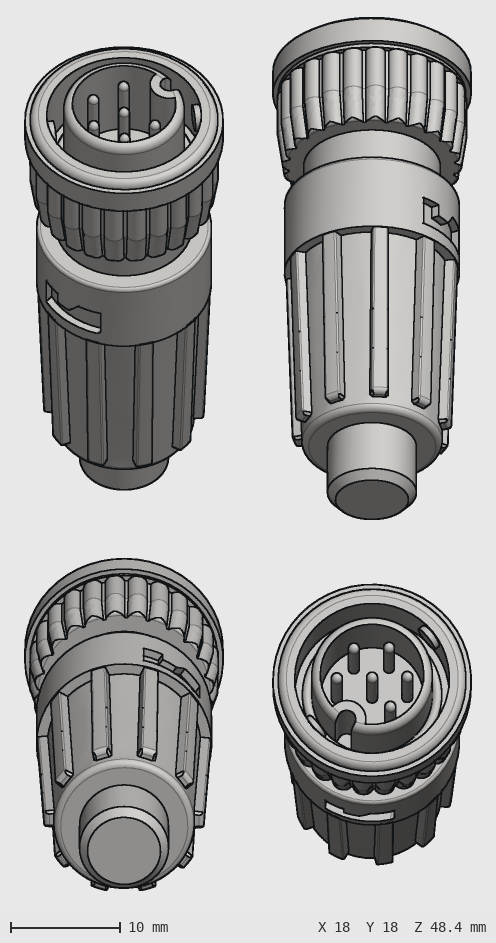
import cadquery as cq
import math

total_height = 48.39
overall_diameter = 18.03
grip_bottom_z = 5.75
rib_bottom_z = 7.05
collar_bottom_z = 24.45
collar_top_z = 32.05
ring_bottom_z = 35.95
knurl_bend_z = 39.3
knurl_top_z = 43.4
flange_bottom_z = 43.8
flange_top_z = 46.2
ring_top_z = 46.93
gap_depth = 7.5
cavity_depth = 8.5
gap_floor_z = total_height - gap_depth
cavity_floor_z = total_height - cavity_depth

tail_radius = 4.05
tail_chamfer_width = 0.73
tail_chamfer_height = 0.8

grip_bottom_radius = 6.38
grip_top_radius = 6.98
grip_edge_radius = 0.6
rib_count = 10
rib_first_angle = 272.0
rib_top_radius = 7.87
rib_bottom_radius = 7.3
rib_outer_width = 1.35
rib_root_width = 1.55
rib_edge_radius = 0.15
rib_end_chamfer = 0.25
rib_end_radius = 0.5
rib_root_radius = 5.8

collar_radius = 7.96
collar_edge_radius = 0.33
window_turn = 20.0
window_depth = 0.73
window_half_width = 3.19
window_bottom_z = 25.75
window_top_z = 28.53
window_corner_radius = 0.4
tooth_bottom_z = 27.36
tooth_left = -1.4
tooth_right = 0.05
tooth_ramp_end = 1.05

neck_radius = 6.23

flange_radius = overall_diameter / 2
ring_radius = 8.55
ring_bore_radius = 7.03
ring_edge_radius = ring_top_z - flange_top_z
lobe_count = 24
lobe_radius = 0.95
lobe_centre_radius = 7.66
valley_radius = 8.05
knurl_taper = 0.47
ring_bottom_edge_radius = 0.35

lug_angle = 248.0
lug_radius = 1.2
lug_inner_radius = 6.4
lug_recess = 0.3
lug_centre_z = ring_top_z - lug_recess - lug_radius

shell_radius = 5.49
shell_bore_radius = 4.7
shell_edge_radius = shell_radius - shell_bore_radius
seal_radius = 0.43
seal_centre_radius = shell_radius + seal_radius

key_centre_y = 4.8
key_boss_radius = 1.75
key_slot_width = 1.64

pin_radius = 0.5
pin_circle_radius = 3.2
pin_recess = 0.7
pin_top_z = total_height - pin_recess
outer_pin_angles = [30, 150, 210, 270, 330]


def cylinder(radius, bottom_z, top_z):
    return cq.Workplane("XY").workplane(offset=bottom_z).circle(radius).extrude(top_z - bottom_z)


def turned(profile):
    """Turn a profile, drawn as (radius, height), about the connector axis."""
    return profile.revolve(360, (0, 0), (0, 1))


def make_body():
    """Tail, grip core, collar and neck as one turned profile."""
    profile = (
        cq.Workplane("XZ")
        .lineTo(tail_radius - tail_chamfer_width, 0)
        .lineTo(tail_radius, tail_chamfer_height)
        .lineTo(tail_radius, grip_bottom_z)
        .lineTo(grip_bottom_radius - grip_edge_radius, grip_bottom_z)
        .radiusArc((grip_bottom_radius, grip_bottom_z + grip_edge_radius), -grip_edge_radius)
        .lineTo(grip_top_radius, collar_bottom_z)
        .lineTo(collar_radius, collar_bottom_z)
        .lineTo(collar_radius, collar_top_z - collar_edge_radius)
        .radiusArc((collar_radius - collar_edge_radius, collar_top_z), -collar_edge_radius)
        .lineTo(neck_radius, collar_top_z)
        .lineTo(neck_radius, cavity_floor_z)
        .lineTo(0, cavity_floor_z)
        .close()
    )
    return turned(profile)


def make_ribs():
    """Straight grip ribs with drafted flanks, trimmed to a tapered outer envelope."""
    outer_x = collar_radius
    draft = (rib_root_width - rib_outer_width) / 2 / (rib_top_radius - grip_top_radius)
    half_outer = rib_outer_width / 2 - draft * (outer_x - rib_top_radius)
    half_inner = rib_outer_width / 2 + draft * (rib_top_radius - rib_root_radius)
    section = [
        (rib_root_radius, -half_inner),
        (outer_x, -half_outer),
        (outer_x, half_outer),
        (rib_root_radius, half_inner),
    ]
    height = collar_bottom_z - rib_bottom_z
    blank = cq.Workplane("XY").workplane(offset=rib_bottom_z).polyline(section).close().extrude(height)
    blank = blank.faces("<Z").edges("not |Y").chamfer(rib_end_chamfer)

    envelope = (
        cq.Workplane("XZ")
        .moveTo(0, rib_bottom_z)
        .lineTo(rib_bottom_radius - rib_end_radius, rib_bottom_z)
        .radiusArc((rib_bottom_radius, rib_bottom_z + rib_end_radius), -rib_end_radius)
        .lineTo(rib_top_radius, collar_bottom_z)
        .lineTo(0, collar_bottom_z)
        .close()
    )
    rib = blank.intersect(turned(envelope))
    rib = rib.faces(">X").edges("not(>Z or <Z)").fillet(rib_edge_radius)

    ribs = []
    for index in range(rib_count):
        angle = rib_first_angle + index * 360 / rib_count
        ribs.append(rib.rotate((0, 0, 0), (0, 0, 1), angle))
    return ribs


def make_window():
    """Material removed for one collar window: an outline pushed in, down to a round floor."""
    outline = (
        cq.Workplane("XZ")
        .moveTo(-window_half_width, window_bottom_z)
        .lineTo(window_half_width - window_corner_radius, window_bottom_z)
        .radiusArc((window_half_width, window_bottom_z + window_corner_radius), -window_corner_radius)
        .lineTo(window_half_width, window_top_z)
        .lineTo(tooth_ramp_end, window_top_z)
        .lineTo(tooth_right, tooth_bottom_z)
        .lineTo(tooth_left, tooth_bottom_z)
        .lineTo(tooth_left, window_top_z)
        .lineTo(-window_half_width, window_top_z)
        .close()
    )
    floor = cylinder(collar_radius - window_depth, collar_bottom_z, collar_top_z)
    window = outline.extrude(2 * collar_radius).cut(floor)
    return window.rotate((0, 0, 0), (0, 0, 1), window_turn)


def knurl_outline(centre_radius, core_radius, z):
    """Closed outline of round lobes standing on a core circle."""
    pitch = 2 * math.pi / lobe_count
    cosine = (centre_radius**2 + core_radius**2 - lobe_radius**2) / (2 * centre_radius * core_radius)
    half_lobe = math.acos(cosine)
    peak_radius = centre_radius + lobe_radius

    def point(radius, angle):
        return (radius * math.cos(angle), radius * math.sin(angle))

    first = pitch / 2
    outline = cq.Workplane("XY").workplane(offset=z).moveTo(*point(core_radius, first - half_lobe))
    for index in range(lobe_count):
        middle = first + index * pitch
        lobe_end = point(core_radius, middle + half_lobe)
        next_start = point(core_radius, middle + pitch - half_lobe)
        outline = outline.threePointArc(point(peak_radius, middle), lobe_end)
        outline = outline.threePointArc(point(core_radius, middle + pitch / 2), next_start)
    return outline.close()


def make_knurl():
    """Straight lobes above, leaning inwards below, with a rounded lower edge."""
    bend = knurl_outline(lobe_centre_radius, valley_radius, knurl_bend_z)
    lower = knurl_outline(lobe_centre_radius - knurl_taper, valley_radius - knurl_taper, ring_bottom_z)
    leaning = cq.Workplane(cq.Solid.makeLoft([lower.val(), bend.val()], True))
    straight = bend.extrude(knurl_top_z - knurl_bend_z)

    lean = knurl_taper / (knurl_bend_z - ring_bottom_z)
    bottom_radius = lobe_centre_radius + lobe_radius - knurl_taper + lean * ring_bottom_edge_radius
    envelope = (
        cq.Workplane("XZ")
        .moveTo(0, ring_bottom_z)
        .lineTo(bottom_radius - ring_bottom_edge_radius, ring_bottom_z)
        .radiusArc((bottom_radius, ring_bottom_z + ring_bottom_edge_radius), -ring_bottom_edge_radius)
        .lineTo(flange_radius, knurl_bend_z)
        .lineTo(0, knurl_bend_z)
        .close()
    )
    return straight.union(leaning.intersect(turned(envelope)))


def make_ring():
    """Coupling ring: knurl, flange and rounded top lip, hollow above the gap floor."""
    band = cylinder(ring_radius, knurl_top_z, ring_top_z).faces(">Z").edges().fillet(ring_edge_radius)
    flange = cylinder(flange_radius, flange_bottom_z, flange_top_z)
    bore = cylinder(ring_bore_radius, gap_floor_z, ring_top_z)
    return make_knurl().union(band).union(flange).cut(bore)


def make_lug():
    """Short round pin pointing from the ring wall towards the axis."""
    wall_middle = (ring_bore_radius + ring_radius) / 2
    lug = cq.Workplane("YZ", origin=(lug_inner_radius, 0, lug_centre_z)).circle(lug_radius)
    lug = lug.extrude(wall_middle - lug_inner_radius)
    return lug.rotate((0, 0, 0), (0, 0, 1), lug_angle)


def half_turn(shape):
    """The matching feature on the opposite side of the axis."""
    return shape.rotate((0, 0, 0), (0, 0, 1), 180)


def make_shell():
    """Plug shell with a rounded rim and a key boss with a slot open to the outside."""
    height = total_height - cavity_floor_z
    shell = cylinder(shell_radius, cavity_floor_z, total_height)
    shell = shell.faces(">Z").edges().fillet(shell_edge_radius)
    bore = cylinder(shell_bore_radius, cavity_floor_z, total_height)
    at_key = cq.Workplane("XY", origin=(0, key_centre_y, cavity_floor_z))
    boss = at_key.circle(key_boss_radius).extrude(height)
    slot = at_key.circle(key_slot_width / 2).extrude(height)
    slot_mouth = at_key.rect(key_slot_width, shell_radius, centered=(True, False)).extrude(height)
    return shell.cut(bore.cut(boss)).cut(slot).cut(slot_mouth)


def make_seal():
    """Half-exposed round sealing ring lying on the gap floor."""
    section = cq.Workplane("XZ").center(seal_centre_radius, gap_floor_z).circle(seal_radius)
    return section.revolve(360, (-seal_centre_radius, 0), (-seal_centre_radius, 1))


def make_pin(x, y):
    """Round contact pin with a domed tip."""
    pin = cq.Workplane("XY", origin=(x, y, cavity_floor_z)).circle(pin_radius)
    pin = pin.extrude(pin_top_z - pin_radius - cavity_floor_z)
    dome = cq.Workplane("XY", origin=(x, y, pin_top_z - pin_radius)).sphere(pin_radius)
    return pin.union(dome)


def make_pins():
    """The centre pin and the ring of outer pins."""
    pins = [make_pin(0, 0)]
    for angle in outer_pin_angles:
        turn = math.radians(angle)
        pins.append(make_pin(pin_circle_radius * math.cos(turn), pin_circle_radius * math.sin(turn)))
    return pins


window = make_window()
result = make_body().cut(window).cut(half_turn(window))
for rib in make_ribs():
    result = result.union(rib)

lug = make_lug()
plug_end = make_ring().union(lug).union(half_turn(lug)).union(make_seal())
plug_cavity = cylinder(shell_radius, cavity_floor_z, total_height)
plug_end = plug_end.cut(plug_cavity).union(make_shell())
result = result.union(plug_end)
for pin in make_pins():
    result = result.union(pin)